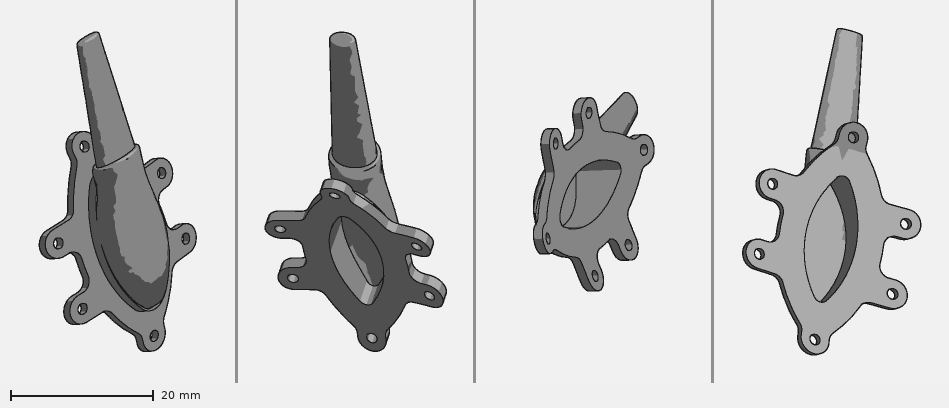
import cadquery as cq
import math

TILT = 52.0

INNER_RADIUS = 73.3
CROWN_ANGLE = 10.4
ROLL_ANGLE = -1.6
PLATE_THICKNESS = 1.55
PLATE_HALF_LENGTH = 15.6
PLATE_HALF_WIDTH = 7.75

LUG_RADIUS = 2.1
LUG_HOLE_DIAMETER = 1.55
LUG_BLEND = 1.6
END_LUG_X = 15.05
SIDE_LUG_X = 5.2
SIDE_LUG_Y = 10.2

WALL = 1.5
BOSS_HEIGHT = 1.9
BOSS_HALF_LENGTH = 10.85
BOSS_HALF_WIDTH = 5.3
BOSS_TIP_RADIUS = 2.65
POCKET_RIM_DEPTH = 2.65

DOME_SECTIONS = [
    (-13.15, 0, 9.35, 3.1, 3.75),
    (-10.6, 0, 8.2, 3.45, 3.75),
    (-8.35, 0, 7.1, 3.65, 3.9),
    (-4.5, 0, 4.95, 4.6, 4.8),
    (-1.9, 0, 4.05, 4.5, 5.2),
    (3.9, 0, 2.7, 3.25, 4.7),
    (7.6, 0, 1.85, 1.8, 3.3),
    (10.2, 0, 1.1, 0.4, 1.35),
]
COLLAR_RIM_FILLET = 0.3

STEM_BASE = (-12.75, 0, 9.1, 2.35, 3.35)
STEM_TIP = (-32.0, -0.3, 17.15, 1.3, 1.9)
STEM_TIP_FILLET = 0.4

REACH = 31.85


def ball(radius):
    """Solid sphere about the common centre of the plate faces."""
    return (
        cq.Workplane("XY")
        .sphere(radius)
        .translate((0, 0, -INNER_RADIUS))
        .rotate((0, 0, 0), (1, 0, 0), ROLL_ANGLE)
        .rotate((0, 0, 0), (0, 1, 0), CROWN_ANGLE)
    )


def shell_layer(prism, outer_offset):
    """Part of a z prism between the underside sphere and one offset outward from it."""
    return prism.intersect(ball(INNER_RADIUS + outer_offset)).cut(ball(INNER_RADIUS))


def base_plane():
    """Workplane far enough below the part for prisms of height REACH to span it."""
    return cq.Workplane("XY", origin=(0, 0, -REACH / 2))


def lens(half_length, half_width, tip_radius):
    """Prism on a two-arc lens with rounded tips tangent to the side arcs."""
    tip_x = half_length - tip_radius
    side_radius = (tip_x**2 + half_width**2 - tip_radius**2) / (2 * (half_width - tip_radius))
    side_y = half_width - side_radius
    along = math.atan2(-side_y, tip_x)
    join_x = tip_x + tip_radius * math.cos(along)
    join_y = tip_radius * math.sin(along)
    return (
        base_plane()
        .moveTo(-join_x, join_y)
        .threePointArc((0, half_width), (join_x, join_y))
        .threePointArc((half_length, 0), (join_x, -join_y))
        .threePointArc((0, -half_width), (-join_x, -join_y))
        .threePointArc((-half_length, 0), (-join_x, join_y))
        .close()
        .extrude(REACH)
    )


def elliptical_loft(sections):
    """Smooth solid through ellipses that stand across x."""
    wires = []
    for x, y, z, half_height, half_width in sections:
        plane = cq.Plane(origin=(x, y, z), xDir=(0, 1, 0), normal=(1, 0, 0))
        wires.append(cq.Workplane(plane).ellipse(half_width, half_height).wires().val())
    return cq.Workplane(obj=cq.Solid.makeLoft(wires))


def lugged_plate():
    """Domed plate with six drilled lugs blended into its lens-shaped rim."""
    rim = (
        base_plane()
        .moveTo(-PLATE_HALF_LENGTH, 0)
        .threePointArc((0, PLATE_HALF_WIDTH), (PLATE_HALF_LENGTH, 0))
        .threePointArc((0, -PLATE_HALF_WIDTH), (-PLATE_HALF_LENGTH, 0))
        .close()
        .extrude(REACH)
    )
    end_lugs = base_plane().slot2D(2 * (END_LUG_X + LUG_RADIUS), 2 * LUG_RADIUS).extrude(REACH)
    side_lugs = (
        base_plane()
        .pushPoints([(-SIDE_LUG_X, 0), (SIDE_LUG_X, 0)])
        .slot2D(2 * (SIDE_LUG_Y + LUG_RADIUS), 2 * LUG_RADIUS, 90)
        .extrude(REACH)
    )
    prism = rim.union(end_lugs).union(side_lugs)
    corner_x = END_LUG_X - LUG_RADIUS / 2
    corner_y = SIDE_LUG_Y - LUG_RADIUS / 2
    inside_corners = cq.selectors.BoxSelector(
        (-corner_x, -corner_y, -REACH), (corner_x, corner_y, REACH)
    )
    prism = prism.edges("|Z").edges(inside_corners).fillet(LUG_BLEND)
    end_points = [(-END_LUG_X, 0), (END_LUG_X, 0)]
    side_points = [(x, y) for x in (-SIDE_LUG_X, SIDE_LUG_X) for y in (-SIDE_LUG_Y, SIDE_LUG_Y)]
    holes = (
        base_plane()
        .pushPoints(end_points + side_points)
        .circle(LUG_HOLE_DIAMETER / 2)
        .extrude(REACH)
    )
    return shell_layer(prism.cut(holes), PLATE_THICKNESS)


def dome():
    body = elliptical_loft(DOME_SECTIONS).faces("<X").edges().fillet(COLLAR_RIM_FILLET)
    return body.cut(ball(INNER_RADIUS))


def stem():
    return elliptical_loft([STEM_TIP, STEM_BASE]).faces("<X").edges().fillet(STEM_TIP_FILLET)


def cavity():
    """Lens-shaped opening that runs up to a ceiling one wall below the dome."""
    opening = lens(BOSS_HALF_LENGTH - WALL, BOSS_HALF_WIDTH - WALL, BOSS_TIP_RADIUS - WALL)
    ceiling = elliptical_loft(DOME_SECTIONS).translate((0, 0, -WALL))
    return opening.intersect(ceiling.union(ball(INNER_RADIUS + POCKET_RIM_DEPTH)))


boss = shell_layer(
    lens(BOSS_HALF_LENGTH, BOSS_HALF_WIDTH, BOSS_TIP_RADIUS), PLATE_THICKNESS + BOSS_HEIGHT
)
part = lugged_plate().union(boss).union(dome()).cut(cavity()).union(stem())
result = part.rotate((0, 0, 0), (0, 1, 0), TILT)